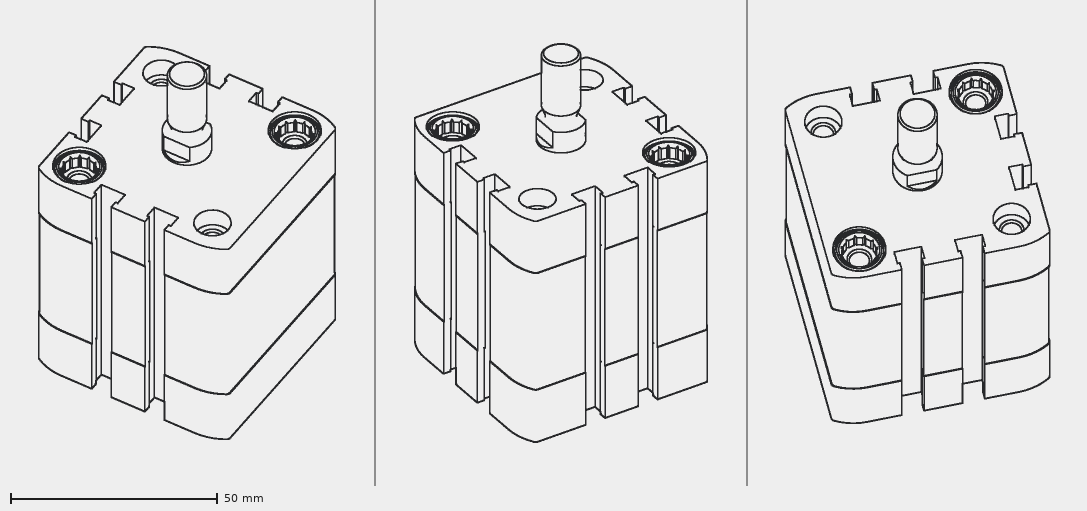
import cadquery as cq
import math

housing_width = 54.5
housing_height = 64.2
cap_height = 15.2
barrel_height = housing_height - 2 * cap_height
barrel_inset = 0.2

screw_offset = 19.0
corner_arc_radius = 14.8
corner_fillet = 1.1

slot_offset = 7.6
slot_opening = 5.5
slot_inner_width = 6.8
slot_lip_depth = 2.05
slot_depth = 5.4

through_hole_diameter = 4.9
hole_mouth_diameter = 6.0
hole_chamfer = (hole_mouth_diameter - through_hole_diameter) / 2

plain_bore_diameter = 9.0
plain_bore_depth = 5.0

screw_recess_diameter = 12.8
screw_recess_depth = 1.1
screw_head_diameter = 11.9
head_edge_chamfer = 0.45
head_top_depth = 0.4
socket_mouth_diameter = 10.0
socket_diameter = 8.5
socket_point_diameter = 9.2
socket_cone_depth = 1.2
socket_floor_depth = 4.6
socket_squares = 3

total_height = 89.15
rod_length = total_height - housing_height
collar_diameter = 12.0
collar_height = 6.0
neck_diameter = 7.7
neck_height = 1.3
neck_fillet = 0.6
runout_height = 2.6
thread_diameter = 9.5
thread_chamfer = 0.5
flat_width = 9.5
flat_bottom_height = 1.3
flat_slope_drop = 0.7


def revolve_profile(points):
    """Solid turned about the Z axis from (radius, height) points."""
    return cq.Workplane("XZ").polyline(points).close().revolve(360, (0, 0, 0), (0, 1, 0))


def housing_block(inset, height):
    """Block whose +Y and -Y faces curve down towards the X faces."""
    half = housing_width / 2 - inset
    arc_angle = math.asin((half - screw_offset) / corner_arc_radius)
    arc_center_y = half - corner_arc_radius
    middle_x = screw_offset + corner_arc_radius * math.sin(arc_angle / 2)
    middle_y = arc_center_y + corner_arc_radius * math.cos(arc_angle / 2)
    corner_y = arc_center_y + corner_arc_radius * math.cos(arc_angle)
    return (
        cq.Workplane("XY")
        .moveTo(-screw_offset, half)
        .lineTo(screw_offset, half)
        .threePointArc((middle_x, middle_y), (half, corner_y))
        .lineTo(half, -corner_y)
        .threePointArc((middle_x, -middle_y), (screw_offset, -half))
        .lineTo(-screw_offset, -half)
        .threePointArc((-middle_x, -middle_y), (-half, -corner_y))
        .lineTo(-half, corner_y)
        .threePointArc((-middle_x, middle_y), (-screw_offset, half))
        .close()
        .extrude(height)
        .edges("|Z and (<X or >X)")
        .fillet(corner_fillet)
    )


def slot_pair(inset, height):
    """Cutter for the two T-slots of the +Y side."""
    face_y = housing_width / 2 - inset
    lip_y = face_y - slot_lip_depth
    floor_y = housing_width / 2 - slot_depth
    opening_half = slot_opening / 2
    inner_half = slot_inner_width / 2
    profile = [
        (-opening_half, face_y),
        (-opening_half, lip_y),
        (-inner_half, lip_y),
        (-inner_half, floor_y),
        (inner_half, floor_y),
        (inner_half, lip_y),
        (opening_half, lip_y),
        (opening_half, face_y),
    ]
    slot = cq.Workplane("XY").polyline(profile).close().extrude(height)
    return slot.translate((-slot_offset, 0, 0)).union(slot.translate((slot_offset, 0, 0)))


def slotted_section(inset, height):
    """Length of housing with T-slots on the +Y, -X and -Y sides."""
    section = housing_block(inset, height)
    slots = slot_pair(inset, height)
    for angle in (0, 90, 180):
        section = section.cut(slots.rotate((0, 0, 0), (0, 0, 1), angle))
    return section


def through_hole(mouth_depth):
    """Cutter for a through hole whose chamfered mouth lies below the top face."""
    hole_radius = through_hole_diameter / 2
    mouth_z = housing_height - mouth_depth
    return revolve_profile([
        (0, 0),
        (hole_radius, 0),
        (hole_radius, mouth_z - hole_chamfer),
        (hole_mouth_diameter / 2, mouth_z),
        (0, mouth_z),
    ])


def plain_hole():
    """Cutter for a counterbored through hole."""
    bore = (
        cq.Workplane("XY", origin=(0, 0, housing_height - plain_bore_depth))
        .circle(plain_bore_diameter / 2)
        .extrude(plain_bore_depth)
    )
    return bore.union(through_hole(plain_bore_depth))


def screw_hole():
    """Cutter that leaves a sunk screw head with a twelve-point socket and a through hole."""
    recess_radius = screw_recess_diameter / 2
    head_radius = screw_head_diameter / 2
    recess_floor_z = housing_height - screw_recess_depth
    head_top_z = housing_height - head_top_depth
    socket_floor_z = housing_height - socket_floor_depth
    cutter = revolve_profile([
        (0, housing_height),
        (recess_radius, housing_height),
        (recess_radius, recess_floor_z),
        (head_radius, recess_floor_z),
        (head_radius, head_top_z - head_edge_chamfer),
        (head_radius - head_edge_chamfer, head_top_z),
        (socket_mouth_diameter / 2, head_top_z),
        (socket_diameter / 2, head_top_z - socket_cone_depth),
        (socket_diameter / 2, socket_floor_z),
        (0, socket_floor_z),
    ])
    square = (
        cq.Workplane("XY", origin=(0, 0, socket_floor_z))
        .polygon(4, socket_point_diameter)
        .extrude(head_top_z - socket_floor_z)
    )
    for index in range(socket_squares):
        cutter = cutter.union(square.rotate((0, 0, 0), (0, 0, 1), index * 90 / socket_squares))
    return cutter.union(through_hole(socket_floor_depth))


def make_housing():
    cap = slotted_section(0, cap_height)
    barrel = slotted_section(barrel_inset, barrel_height)
    body = cap.union(barrel.translate((0, 0, cap_height)))
    body = body.union(cap.translate((0, 0, cap_height + barrel_height)))
    for side in (-1, 1):
        x = side * screw_offset
        body = body.cut(plain_hole().translate((x, -x, 0)))
        body = body.cut(screw_hole().translate((x, x, 0)))
    return body


def wrench_flat():
    """Cutter for the +Y flat of the collar, with a sloping foot."""
    flat_y = flat_width / 2
    outer_y = collar_diameter / 2
    profile = [
        (flat_y, collar_height),
        (flat_y, flat_bottom_height),
        (outer_y, flat_bottom_height - flat_slope_drop),
        (outer_y, collar_height),
    ]
    return cq.Workplane("YZ").polyline(profile).close().extrude(outer_y, both=True)


def make_piston_rod():
    """Rod standing on the top face of the housing."""
    collar_radius = collar_diameter / 2
    neck_radius = neck_diameter / 2
    thread_radius = thread_diameter / 2
    runout_z = collar_height + neck_height
    rod = revolve_profile([
        (0, 0),
        (collar_radius, 0),
        (collar_radius, collar_height),
        (neck_radius, collar_height),
        (neck_radius, runout_z),
        (thread_radius, runout_z + runout_height),
        (thread_radius, rod_length - thread_chamfer),
        (thread_radius - thread_chamfer, rod_length),
        (0, rod_length),
    ])
    rod = rod.edges("%CIRCLE").edges(cq.selectors.RadiusNthSelector(0)).fillet(neck_fillet)
    for angle in (0, 180):
        rod = rod.cut(wrench_flat().rotate((0, 0, 0), (0, 0, 1), angle))
    return rod.translate((0, 0, housing_height))


housing = make_housing()
piston_rod = make_piston_rod()
result = cq.Compound.makeCompound([housing.solids().val(), piston_rod.solids().val()])